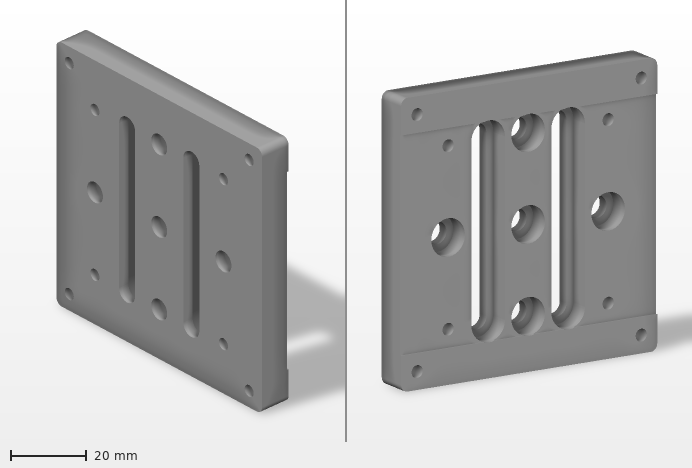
import cadquery as cq

side = 80.0
thickness = 9.5
corner_radius = 2.0

channel_height = 60.0
channel_depth = 0.5

grid_pitch = 25.0
screw_clearance = 6.2
small_hole_diameter = 3.5
corner_hole_inset = 5.0
slot_travel = 2 * grid_pitch
slot_offset = grid_pitch / 2

head_clearance = 10.5
web_thickness = 3.3

front_y = -thickness / 2
back_y = thickness / 2


def square_corners(half_width):
    """Four (x, z) points at the corners of a centred square."""
    return [(x, z) for x in (-half_width, half_width) for z in (-half_width, half_width)]


def plane_behind_front(depth):
    """Workplane parallel to the front face, at a depth behind it; its normal points to -Y."""
    return cq.Workplane("XZ", origin=(0, front_y + depth, 0))


def make_plate():
    """Square plate with its four edges along Y rounded."""
    return cq.Workplane("XY").box(side, thickness, side).edges("|Y").fillet(corner_radius)


def channel_cutter():
    """Full-width relief in the back face."""
    centre_y = back_y - channel_depth / 2
    return cq.Workplane("XY", origin=(0, centre_y, 0)).box(side, channel_depth, channel_height)


def hole_cutter(points, diameter, start_depth=0):
    """Cylinders along Y from a depth behind the front face to the back face."""
    length = thickness - start_depth
    return plane_behind_front(start_depth).pushPoints(points).circle(diameter / 2).extrude(-length)


def slot_cutter(points, width, start_depth=0):
    """Round-ended slots standing along Z, from a depth behind the front face to the back face."""
    length = thickness - start_depth
    sketch = plane_behind_front(start_depth).pushPoints(points)
    return sketch.slot2D(slot_travel + width, width, angle=90).extrude(-length)


screw_holes = [(0, 0), (-grid_pitch, 0), (grid_pitch, 0), (0, -grid_pitch), (0, grid_pitch)]
small_holes = square_corners(grid_pitch) + square_corners(side / 2 - corner_hole_inset)
slots = [(-slot_offset, 0), (slot_offset, 0)]

result = make_plate().cut(channel_cutter()).cut(hole_cutter(small_holes, small_hole_diameter))

for width, start_depth in ((screw_clearance, 0), (head_clearance, web_thickness)):
    result = result.cut(hole_cutter(screw_holes, width, start_depth))
    result = result.cut(slot_cutter(slots, width, start_depth))